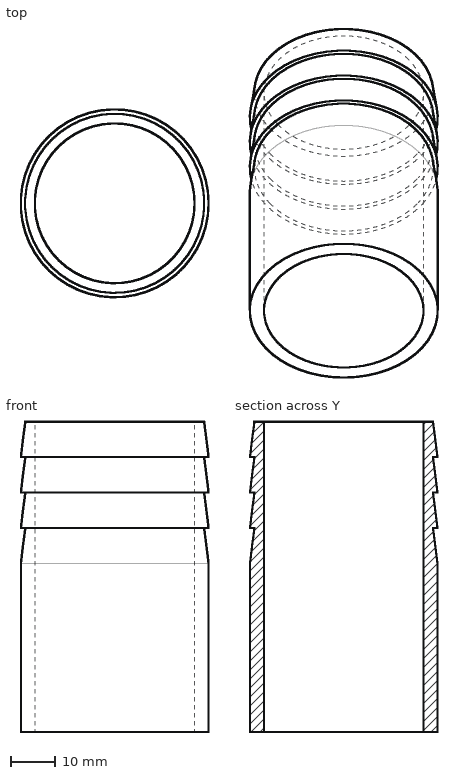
import cadquery as cq

total_height = 70.0
plain_height = 38.0
outer_diameter = 42.4
barb_tip_diameter = 40.4
bore_diameter = 36.0
barb_count = 4

outer_radius = outer_diameter / 2
barb_tip_radius = barb_tip_diameter / 2
bore_radius = bore_diameter / 2
barb_pitch = (total_height - plain_height) / barb_count

profile = [(bore_radius, 0), (outer_radius, 0)]

for index in range(barb_count):
    barb_base = plain_height + index * barb_pitch
    profile.append((outer_radius, barb_base))
    profile.append((barb_tip_radius, barb_base + barb_pitch))

profile.append((bore_radius, total_height))

axis_start = (0, 0, 0)
axis_end = (0, 1, 0)
result = cq.Workplane("XZ").polyline(profile).close().revolve(360, axis_start, axis_end)